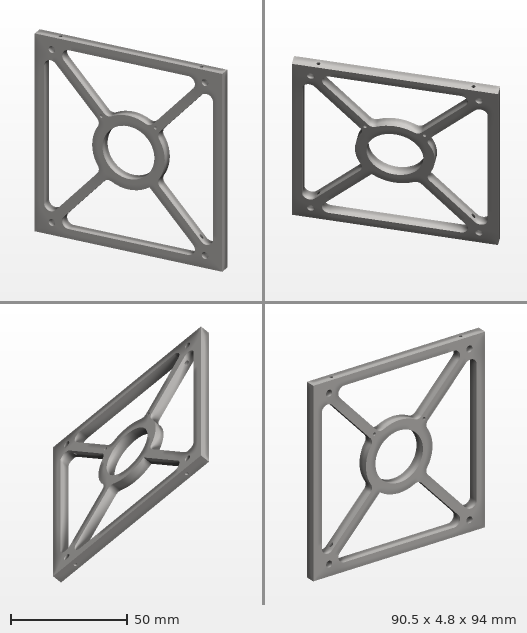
import cadquery as cq
import math

width = 90.5
height = 94.0
thickness = 4.8
border = 4.5

ring_diameter = 35.1
bore_diameter = 25.0
spoke_width = 4.5
spoke_angle = 47.3

frame_fillet = 3.2
ring_fillet = 3.0

corner_hole_diameter = 3.2
corner_hole_x = 36.9
corner_hole_z = 41.1
pin_hole_diameter = 1.5
pin_hole_x = 13.1
pin_hole_z = 14.5
edge_hole_diameter = 1.6
edge_hole_x = 34.0


def front_plane():
    """Sketch plane on the -Y face; extruding by -thickness reaches the +Y face."""
    return cq.Workplane("XZ", origin=(0, -thickness / 2, 0))


def drill_through_thickness(body, points, diameter):
    """Drill holes along Y at the given (x, z) points."""
    drills = front_plane().pushPoints(points).circle(diameter / 2).extrude(-thickness)
    return body.cut(drills)


def make_skeleton():
    """Frame, spokes and solid ring, with sharp window corners."""
    plate = front_plane().rect(width, height).extrude(-thickness)
    opening = front_plane().rect(width - 2 * border, height - 2 * border).extrude(-thickness)
    web = front_plane().circle(ring_diameter / 2).extrude(-thickness)
    spoke_length = math.hypot(width, height)
    for angle in (spoke_angle, -spoke_angle):
        spoke = (
            front_plane()
            .transformed(rotate=(0, 0, angle))
            .rect(spoke_length, spoke_width)
            .extrude(-thickness)
        )
        web = web.union(spoke)
    return plate.cut(opening.cut(web))


def round_window_corners(body):
    """Fillet where the spokes meet the frame and the ring."""
    frame_corners = []
    ring_corners = []
    clearance = 0.1
    for edge in body.edges("|Y").vals():
        x = edge.Center().x
        z = edge.Center().z
        on_outline = abs(x) > width / 2 - clearance
        on_ring = math.hypot(x, z) < ring_diameter / 2 + clearance
        on_spoke = min(abs(x), abs(z)) > spoke_width / 2
        sharp = x > 0 and z < -x * math.tan(math.radians(spoke_angle))
        if on_ring and on_spoke and not sharp:
            ring_corners.append(edge)
        elif not on_ring and not on_outline:
            frame_corners.append(edge)
    solid = body.val().fillet(frame_fillet, frame_corners)
    return cq.Workplane(solid.fillet(ring_fillet, ring_corners))


def drill_edge_holes(body):
    """Vertical holes through the full height, crossing the frame and spokes."""
    drills = (
        cq.Workplane("XY", origin=(0, 0, -height / 2))
        .pushPoints([(-edge_hole_x, 0), (edge_hole_x, 0)])
        .circle(edge_hole_diameter / 2)
        .extrude(height)
    )
    return body.cut(drills)


corner_holes = [(x, z) for x in (-corner_hole_x, corner_hole_x) for z in (-corner_hole_z, corner_hole_z)]
pin_holes = [(-pin_hole_x, pin_hole_z), (pin_hole_x, pin_hole_z)]

result = round_window_corners(make_skeleton())
result = drill_through_thickness(result, [(0, 0)], bore_diameter)
result = drill_through_thickness(result, corner_holes, corner_hole_diameter)
result = drill_through_thickness(result, pin_holes, pin_hole_diameter)
result = drill_edge_holes(result)